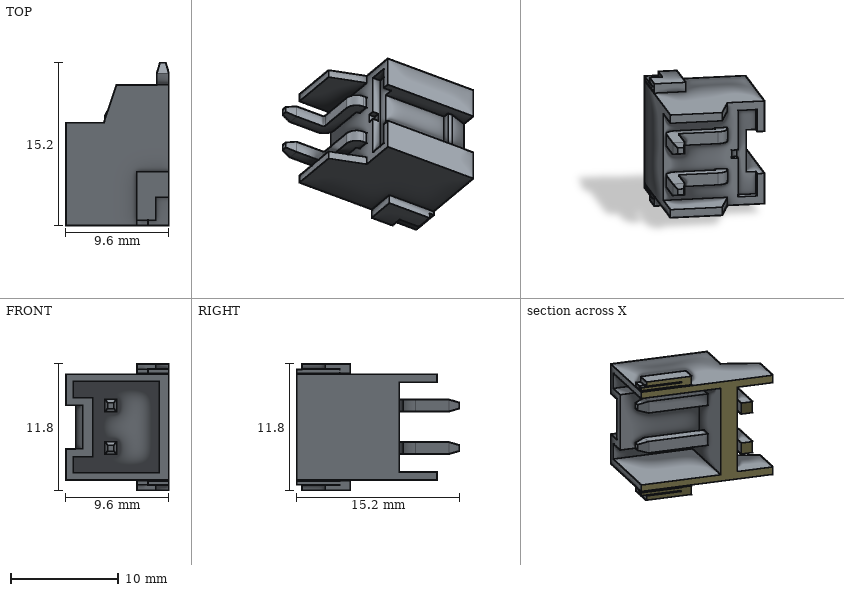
import cadquery as cq


body_width = 9.6
body_depth = 9.6
body_height = 9.91
half_height = body_height / 2

side_wall = 0.68
board_wall = 0.9
cavity_depth = 7.9

recess_height = 4.05
recess_depth = 1.58
recess_cheek = 0.73
latch_wall = 0.93
latch_wall_x = recess_depth + latch_wall

ramp_height = 0.68
ramp_end = 1.78
latch_end = 2.25

pocket_depth = 0.82
notch_height = 0.79
notch_length = 0.62
notch_depth = 0.62
notch_centre_z = -0.03

flange_thickness = 0.79
flange_start_x = 3.53
flange_end_x = 4.7
flange_end_y = 13.12

clip_gap = 0.05
clip_width = 3.0
clip_length = 5.02
clip_base = half_height + clip_gap
clip_top = 5.9
ledge_top = 5.38
ledge_length = 0.5
window_width = 1.22
window_end = 2.66

tongue_gap = 0.05
tongue_length = 4.01
tongue_width = 1.95

pin_size = 1.14
pin_pitch = 3.97
pin_row_z = 0.03
pin_x = 3.6
pin_front = 1.0
pin_rear = 15.2
tip_length = 0.99
tip_size = 0.56
bend_rear_y = 11.1
bend_inner_radius = 0.15
bend_outer_radius = 1.14
leg_x = body_width - pin_size


def box(x_min, x_max, y_min, y_max, z_min, z_max):
    """Box between the given limits."""
    size = (x_max - x_min, y_max - y_min, z_max - z_min)
    return cq.Workplane("XY").box(*size, centered=False).translate((x_min, y_min, z_min))


def centred_box(x_min, x_max, y_min, y_max, height):
    """Box between the given X and Y limits, centred on Z = 0."""
    return box(x_min, x_max, y_min, y_max, -height / 2, height / 2)


def mirrored(shape):
    """Copy of a shape on the other side of Z = 0."""
    return shape.mirror("XY")


def make_cavity():
    cavity_height = body_height - 2 * side_wall
    cavity = centred_box(side_wall, body_width - board_wall, 0, cavity_depth, cavity_height)
    recess_wall_height = recess_height + 2 * recess_cheek
    return cavity.cut(centred_box(0, latch_wall_x, 0, cavity_depth, recess_wall_height))


def make_latch_ramp():
    top_x = recess_depth - ramp_height
    outline = [(recess_depth, 0), (top_x, ramp_end), (top_x, latch_end), (recess_depth, latch_end)]
    ramp = cq.Workplane("XY").polyline(outline).close().extrude(recess_height)
    return ramp.translate((0, 0, -recess_height / 2))


def make_rear_pocket():
    pocket_height = body_height - 2 * flange_thickness
    pocket = centred_box(side_wall, latch_wall_x, body_depth - pocket_depth, body_depth, pocket_height)
    notch_end_x = latch_wall_x + notch_depth
    notch = centred_box(latch_wall_x, notch_end_x, body_depth - notch_length, body_depth, notch_height)
    return pocket.union(notch.translate((0, 0, notch_centre_z)))


def make_flange():
    outline = [
        (flange_start_x, body_depth),
        (flange_end_x, flange_end_y),
        (body_width, flange_end_y),
        (body_width, body_depth),
    ]
    flange = cq.Workplane("XY").polyline(outline).close().extrude(flange_thickness)
    return flange.translate((0, 0, half_height - flange_thickness))


def make_housing(pins):
    housing = centred_box(0, body_width, 0, body_depth, body_height)
    housing = housing.cut(make_cavity())
    housing = housing.cut(centred_box(0, recess_depth, 0, body_depth, recess_height))
    housing = housing.union(make_latch_ramp())
    housing = housing.cut(make_rear_pocket())
    flange = make_flange()
    housing = housing.union(flange).union(mirrored(flange))
    for pin in pins:
        housing = housing.cut(pin)
    return housing


def make_tip(x_centre, y_base, direction):
    """Tapered pin tip that points along Y in the given direction."""
    base = cq.Workplane(cq.Plane((x_centre, y_base, 0), (1, 0, 0), (0, direction, 0)))
    return base.rect(pin_size, pin_size).workplane(offset=tip_length).rect(tip_size, tip_size).loft()


def fillet_corner(shape, x, y, radius):
    """Round the edge along Z that passes nearest to (x, y)."""
    corner = cq.selectors.NearestToPointSelector((x, y, 0))
    return shape.edges("|Z").edges(corner).fillet(radius)


def make_pin(z_centre):
    """Square pin that leaves the housing along Y, steps over to the board side and turns rearwards."""
    front_base = pin_front + tip_length
    rear_base = pin_rear - tip_length
    step_front_y = bend_rear_y - pin_size
    shaft = centred_box(pin_x, pin_x + pin_size, front_base, bend_rear_y, pin_size)
    step = centred_box(pin_x, body_width, step_front_y, bend_rear_y, pin_size)
    leg = centred_box(leg_x, body_width, step_front_y, rear_base, pin_size)
    pin = shaft.union(step).union(leg)
    inner_corners = [(pin_x + pin_size, step_front_y), (leg_x, bend_rear_y)]
    outer_corners = [(pin_x, bend_rear_y), (body_width, step_front_y)]
    for x, y in inner_corners:
        pin = fillet_corner(pin, x, y, bend_inner_radius)
    for x, y in outer_corners:
        pin = fillet_corner(pin, x, y, bend_outer_radius)
    pin = pin.union(make_tip(pin_x + pin_size / 2, front_base, -1))
    pin = pin.union(make_tip(leg_x + pin_size / 2, rear_base, 1))
    return pin.translate((0, 0, z_centre))


def make_clip():
    """Stepped clip above the +Z face, with a tongue parted from it at the mating face."""
    clip_x = body_width - clip_width
    tongue_x = body_width - tongue_width
    clip = box(clip_x, body_width, 0, clip_length, clip_base, clip_top)
    front_step = box(clip_x, body_width, 0, ledge_length, ledge_top, clip_top)
    window = box(body_width - window_width, body_width, 0, window_end, ledge_top, clip_top)
    slot = box(tongue_x - tongue_gap, body_width, 0, tongue_length, clip_base, ledge_top + tongue_gap)
    tongue = box(tongue_x, body_width, 0, tongue_length, clip_base + tongue_gap, ledge_top)
    return clip.cut(front_step).cut(window).cut(slot).union(tongue)


pins = [make_pin(pin_row_z + side * pin_pitch / 2) for side in (-1, 1)]
housing = make_housing(pins)
upper_clip = make_clip()
clips = [upper_clip, mirrored(upper_clip)]

bodies = [housing, *pins, *clips]
result = cq.Compound.makeCompound([body.solids().val() for body in bodies])